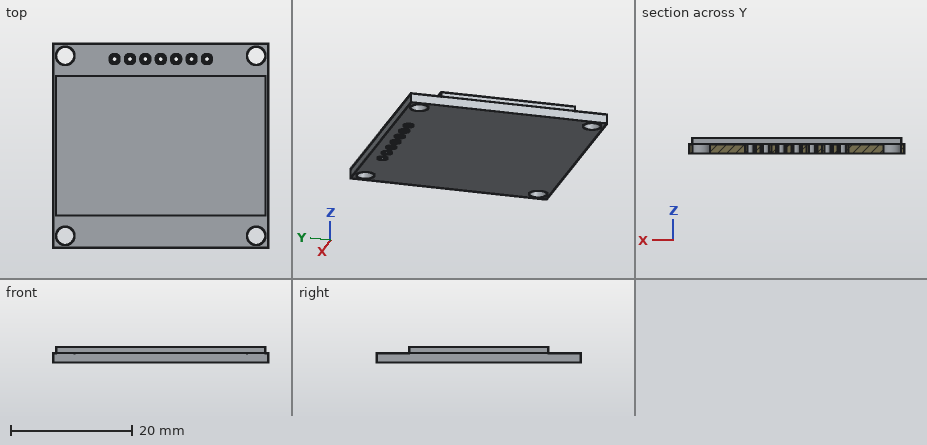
import cadquery as cq

board_width = 35.5
board_depth = 33.7
board_thickness = 1.6

mount_hole_diameter = 3.0
mount_hole_inset = 2.0

panel_width = 34.5
panel_depth = 23.0
panel_thickness = 1.0

pad_count = 7
pad_pitch = 2.54
pad_outer_diameter = 1.7
pad_bore_diameter = 1.0
pad_inset = pad_pitch
pad_row_y = board_depth / 2 - pad_inset

pad_centers = [
    ((i - (pad_count - 1) / 2) * pad_pitch, pad_row_y) for i in range(pad_count)
]


def make_board():
    """Plain board with its corner holes and the seats for the header pads."""
    plate = cq.Workplane("XY").box(
        board_width, board_depth, board_thickness, centered=(True, True, False)
    )
    mount_holes = (
        cq.Workplane("XY")
        .rect(
            board_width - 2 * mount_hole_inset,
            board_depth - 2 * mount_hole_inset,
            forConstruction=True,
        )
        .vertices()
        .circle(mount_hole_diameter / 2)
        .extrude(board_thickness)
    )
    pad_seats = (
        cq.Workplane("XY")
        .pushPoints(pad_centers)
        .circle(pad_outer_diameter / 2)
        .extrude(board_thickness)
    )
    return plate.cut(mount_holes).cut(pad_seats)


def make_panel():
    """Flat display panel resting on the top face of the board."""
    return (
        cq.Workplane("XY")
        .workplane(offset=board_thickness)
        .box(panel_width, panel_depth, panel_thickness, centered=(True, True, False))
    )


def make_pad(center):
    """Sleeve lining one header hole, flush with both faces of the board."""
    return (
        cq.Workplane("XY")
        .center(*center)
        .circle(pad_outer_diameter / 2)
        .circle(pad_bore_diameter / 2)
        .extrude(board_thickness)
    )


board = make_board()
panel = make_panel()
pads = [make_pad(center) for center in pad_centers]

result = cq.Compound.makeCompound(
    [board.val(), panel.val(), *[pad.val() for pad in pads]]
)